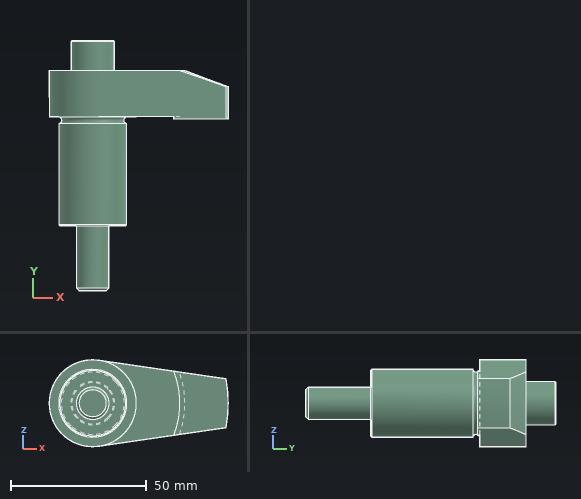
import cadquery as cq
import math

TOTAL_LENGTH = 92.0
SLEEVE_FRONT = 23.9
GROOVE_FRONT = 61.5
HUB_FRONT = 63.9
ARM_BACK = 81.05

TIP_DIAMETER = 12.0
TIP_CHAMFER = 1.0
SLEEVE_DIAMETER = 25.0
SLEEVE_CHAMFER = 0.5
GROOVE_DEPTH = 1.0
STUB_DIAMETER = 16.0
STUB_CHAMFER = 0.4

HUB_DIAMETER = 32.0
HUB_RADIUS = HUB_DIAMETER / 2
OVERALL_WIDTH = 65.9
ARM_REACH = OVERALL_WIDTH - HUB_RADIUS
SIDE_TAPER = math.radians(8.3)
PAD_INNER_RADIUS = HUB_DIAMETER
PAD_HEIGHT = 0.8
PAD_FRONT = HUB_FRONT - PAD_HEIGHT
FRONT_RELIEF = 0.1
RELIEVED_FRONT = HUB_FRONT + FRONT_RELIEF
BEVEL_START_RADIUS = 33.9
BEVEL_DEPTH = 6.0


def make_spindle():
    """Turned spindle: tip pin, grooved sleeve and rear stub."""
    tip_radius = TIP_DIAMETER / 2
    sleeve_radius = SLEEVE_DIAMETER / 2
    stub_radius = STUB_DIAMETER / 2
    groove_middle = (GROOVE_FRONT + HUB_FRONT) / 2
    profile = (
        cq.Workplane("XY")
        .lineTo(tip_radius - TIP_CHAMFER, 0)
        .lineTo(tip_radius, TIP_CHAMFER)
        .lineTo(tip_radius, SLEEVE_FRONT)
        .lineTo(sleeve_radius - SLEEVE_CHAMFER, SLEEVE_FRONT)
        .lineTo(sleeve_radius, SLEEVE_FRONT + SLEEVE_CHAMFER)
        .lineTo(sleeve_radius, GROOVE_FRONT)
        .threePointArc((sleeve_radius - GROOVE_DEPTH, groove_middle), (sleeve_radius, HUB_FRONT))
        .lineTo(sleeve_radius, ARM_BACK)
        .lineTo(stub_radius, ARM_BACK)
        .lineTo(stub_radius, TOTAL_LENGTH - STUB_CHAMFER)
        .lineTo(stub_radius - STUB_CHAMFER, TOTAL_LENGTH)
        .lineTo(0, TOTAL_LENGTH)
        .close()
    )
    return profile.revolve(360, (0, 0, 0), (0, 1, 0))


def make_hub():
    """Round hub whose front face stands slightly proud of the arm."""
    return (
        cq.Workplane("XZ", origin=(0, HUB_FRONT, 0))
        .circle(HUB_RADIUS)
        .extrude(HUB_FRONT - ARM_BACK)
    )


def make_arm_outline():
    """Tapering prism with flat sides that leave the hub tangentially."""
    tangent_x = HUB_RADIUS * math.sin(SIDE_TAPER)
    tangent_z = HUB_RADIUS * math.cos(SIDE_TAPER)
    end_z = tangent_z - (ARM_REACH - tangent_x) * math.tan(SIDE_TAPER)
    return (
        cq.Workplane("XZ", origin=(0, PAD_FRONT, 0))
        .moveTo(tangent_x, tangent_z)
        .lineTo(tangent_x, -tangent_z)
        .lineTo(ARM_REACH, -end_z)
        .lineTo(ARM_REACH, end_z)
        .close()
        .extrude(PAD_FRONT - ARM_BACK)
    )


def make_arm_envelope():
    """Turned body giving the round arm end, the raised pad and the conical rear bevel."""
    profile = (
        cq.Workplane("XY")
        .moveTo(0, RELIEVED_FRONT)
        .lineTo(PAD_INNER_RADIUS, RELIEVED_FRONT)
        .lineTo(PAD_INNER_RADIUS, PAD_FRONT)
        .lineTo(ARM_REACH, PAD_FRONT)
        .lineTo(ARM_REACH, ARM_BACK - BEVEL_DEPTH)
        .lineTo(BEVEL_START_RADIUS, ARM_BACK)
        .lineTo(0, ARM_BACK)
        .close()
    )
    return profile.revolve(360, (0, 0, 0), (0, 1, 0))


arm = make_arm_outline().intersect(make_arm_envelope())
result = make_hub().union(arm).union(make_spindle())